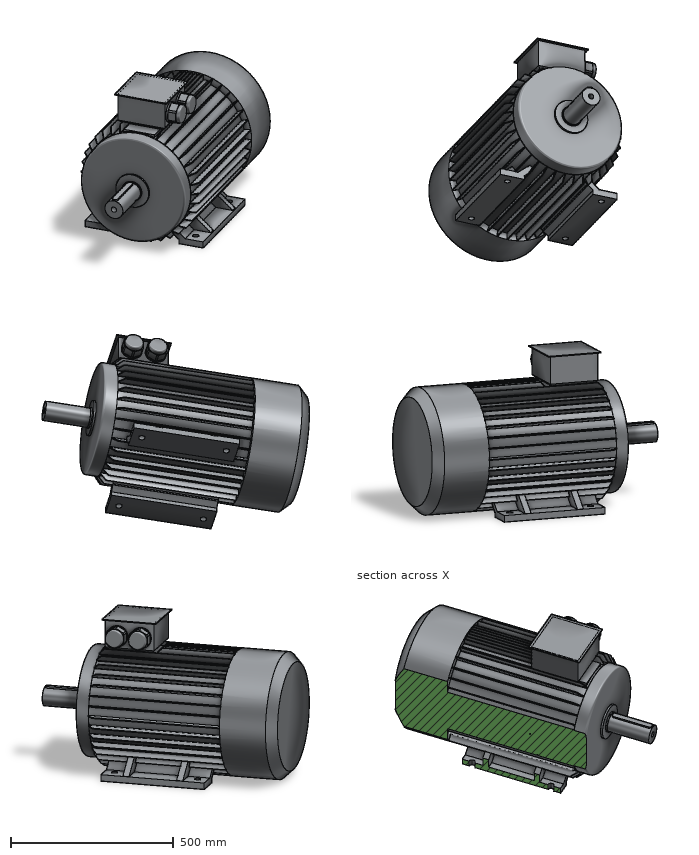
import cadquery as cq
import math


SHAFT_DIAMETER = 60
SHAFT_LENGTH = 140
SHOULDER_DIAMETER = 65
SHOULDER_LENGTH = 5
COVER_DIAMETER = 110
COVER_FACE_Y = SHOULDER_LENGTH
CENTRE_HOLE_DIAMETER = 17.29
CENTRE_HOLE_DEPTH = 40
DRILL_POINT_ANGLE = 118
KEY_WIDTH = 18
KEY_LENGTH = 134
KEY_END_GAP = 2
KEY_TOP_Z = 34
KEY_SEAT_Z = 23

SHIELD_FACE_Y = 11.6
SHIELD_DIAMETER = 350
SHIELD_FILLET = 7
BODY_FRONT_Y = 53.5
BODY_DIAMETER = 352
COWL_FRONT_Y = 482
COWL_REAR_Y = 660
COWL_DIAMETER = 397
COWL_CHAMFER_RADIAL = 29
COWL_CHAMFER_AXIAL = 30

FIN_THICKNESS = 3
FIN_TIP_RADIUS = COWL_DIAMETER / 2
FIN_STEP_ANGLE = 10
FIN_CHAMFER = 18
FIN_ROOT_OVERLAP = 10
TOP_GAP_HALF_ANGLE = 20
TOP_FIN_COUNT = 7
TOP_FIN_SPACING = 12.2
TOP_FIN_FRONT_Y = 250

FLAT_WIDTH = 104
FLAT_Z = 177
FLAT_FRONT_Y = 60
BOX_CENTRE_Y = 156
BOX_SIDE = 157
BOX_TAPER = 7
BOX_TAPER_TOP_Z = 196
LID_SIDE = 172.5
LID_THICKNESS = 3
LID_TOP_Z = 286

GLAND_SPACING = 75.5
GLAND_Z = 235
WASHER_DIAMETER = 65
WASHER_THICKNESS = 6
NUT_ACROSS_FLATS = 60
NUT_CORNER_DIAMETER = 66
NUT_LENGTH = 26
GLAND_CAP_DIAMETER = 57.49
GLAND_CAP_LENGTH = 13.5
GLAND_CAP_FILLET = 5

SHAFT_HEIGHT = 200
FOOT_CENTRE_Y = 266
FOOT_LENGTH = 333
FOOT_OUTER_X = 197.5
FOOT_INNER_X = 116
FOOT_THICKNESS = 21
FOOT_SLOPE = math.radians(40)
WEB_OUTER_X = 137.5
WEB_INNER_RISE = 14
RIB_OUTER_X = 194
RIB_THICKNESS = 20
RIB_SPACING = 173
LEG_TOP_X = 90
HOLE_DIAMETER = 19
HOLE_SPACING_X = 318
HOLE_SPACING_Y = 267


def cylinder_y(diameter, y_start, y_end):
    """Cylinder on the shaft axis from y_start to y_end."""
    return cq.Workplane("XZ", origin=(0, y_start, 0)).circle(diameter / 2).extrude(y_start - y_end)


def prism_y(points, y_centre, length):
    """Prism with an (x, z) outline, centred on y_centre along Y."""
    workplane = cq.Workplane("XZ", origin=(0, y_centre, 0))
    return workplane.polyline(points).close().extrude(length / 2, both=True)


def block(size_x, y_start, y_end, z_start, z_end):
    """Block centred on X = 0."""
    corner = (-size_x / 2, y_start, z_start)
    return cq.Workplane("XY", origin=corner).box(size_x, y_end - y_start, z_end - z_start, centered=False)


def make_housing():
    """Shield, body and fan cowl as solids of revolution."""
    shield = cylinder_y(SHIELD_DIAMETER, SHIELD_FACE_Y, BODY_FRONT_Y)
    shield = shield.faces("<Y").edges().fillet(SHIELD_FILLET)
    body = cylinder_y(BODY_DIAMETER, BODY_FRONT_Y, COWL_FRONT_Y)
    radius = COWL_DIAMETER / 2
    cowl_profile = [
        (0, COWL_FRONT_Y),
        (radius, COWL_FRONT_Y),
        (radius, COWL_REAR_Y - COWL_CHAMFER_AXIAL),
        (radius - COWL_CHAMFER_RADIAL, COWL_REAR_Y),
        (0, COWL_REAR_Y),
    ]
    cowl = cq.Workplane("XY").polyline(cowl_profile).close().revolve(360, (0, 0), (0, 1))
    return shield.union(body).union(cowl)


def make_shaft():
    """Shaft with its shoulder, bearing cover, key and drilled centre hole."""
    shaft = cylinder_y(SHAFT_DIAMETER, -SHAFT_LENGTH, 0)
    shaft = shaft.union(cylinder_y(SHOULDER_DIAMETER, 0, SHOULDER_LENGTH))
    shaft = shaft.union(cylinder_y(COVER_DIAMETER, COVER_FACE_Y, SHIELD_FACE_Y))

    key_centre_y = -SHAFT_LENGTH + KEY_END_GAP + KEY_LENGTH / 2
    key_plane = cq.Workplane("XY", origin=(0, key_centre_y, KEY_SEAT_Z))
    shaft = shaft.union(key_plane.slot2D(KEY_LENGTH, KEY_WIDTH, 90).extrude(KEY_TOP_Z - KEY_SEAT_Z))

    hole_radius = CENTRE_HOLE_DIAMETER / 2
    hole_end_y = -SHAFT_LENGTH + CENTRE_HOLE_DEPTH
    point_length = hole_radius / math.tan(math.radians(DRILL_POINT_ANGLE / 2))
    hole_profile = [
        (0, -SHAFT_LENGTH),
        (hole_radius, -SHAFT_LENGTH),
        (hole_radius, hole_end_y),
        (0, hole_end_y + point_length),
    ]
    centre_hole = cq.Workplane("XY").polyline(hole_profile).close().revolve(360, (0, 0), (0, 1))
    return shaft.cut(centre_hole)


def make_radial_fin(angle):
    """Body-length fin with a sloped front corner; angle is measured from +X towards +Z."""
    root_radius = BODY_DIAMETER / 2 - FIN_ROOT_OVERLAP
    outline = [
        (root_radius, BODY_FRONT_Y),
        (FIN_TIP_RADIUS - FIN_CHAMFER, BODY_FRONT_Y),
        (FIN_TIP_RADIUS, BODY_FRONT_Y + FIN_CHAMFER),
        (FIN_TIP_RADIUS, COWL_FRONT_Y),
        (root_radius, COWL_FRONT_Y),
    ]
    fin = cq.Workplane("XY").polyline(outline).close().extrude(FIN_THICKNESS / 2, both=True)
    return fin.rotate((0, 0, 0), (0, 1, 0), -angle)


def make_radial_fins():
    """Fins all round the body except in the gap on top."""
    fins = cq.Workplane("XY")
    for angle in range(0, 360, FIN_STEP_ANGLE):
        if abs(angle - 90) >= TOP_GAP_HALF_ANGLE:
            fins = fins.add(make_radial_fin(angle))
    return fins.combine()


def make_top_fin(x):
    """Upright fin behind the terminal box, reaching the cowl radius, with a 45 degree front."""
    tip_z = math.sqrt(FIN_TIP_RADIUS**2 - x**2)
    root_z = BODY_DIAMETER / 2 - FIN_ROOT_OVERLAP
    outline = [
        (TOP_FIN_FRONT_Y, tip_z),
        (COWL_FRONT_Y, tip_z),
        (COWL_FRONT_Y, root_z),
        (TOP_FIN_FRONT_Y - (tip_z - root_z), root_z),
    ]
    plane = cq.Workplane("YZ", origin=(x, 0, 0))
    return plane.polyline(outline).close().extrude(FIN_THICKNESS / 2, both=True)


def make_top():
    """Flat on top of the body with its row of upright fins."""
    top = block(FLAT_WIDTH, FLAT_FRONT_Y, COWL_FRONT_Y, 0, FLAT_Z)
    first_fin_x = -(TOP_FIN_COUNT - 1) / 2 * TOP_FIN_SPACING
    for index in range(TOP_FIN_COUNT):
        top = top.union(make_top_fin(first_fin_x + index * TOP_FIN_SPACING))
    return top


def make_gland(y):
    """Cable gland: washer, hexagon nut with rounded corners and rounded cap."""
    box_face = cq.Plane(origin=(BOX_SIDE / 2, y, GLAND_Z), xDir=(0, 1, 0), normal=(1, 0, 0))
    cap_start = WASHER_THICKNESS + NUT_LENGTH
    washer = cq.Workplane(box_face).circle(WASHER_DIAMETER / 2).extrude(WASHER_THICKNESS)

    nut_origin = (BOX_SIDE / 2 + WASHER_THICKNESS, y, GLAND_Z)
    nut_plane = cq.Plane(origin=nut_origin, xDir=(0, 1, 0), normal=(1, 0, 0))
    nut = cq.Workplane(nut_plane).polygon(6, NUT_ACROSS_FLATS, circumscribed=True).extrude(NUT_LENGTH)
    nut = nut.intersect(cq.Workplane(nut_plane).circle(NUT_CORNER_DIAMETER / 2).extrude(NUT_LENGTH))

    cap = cq.Workplane(box_face).workplane(offset=cap_start).circle(GLAND_CAP_DIAMETER / 2)
    cap = cap.extrude(GLAND_CAP_LENGTH).faces(">X").edges().fillet(GLAND_CAP_FILLET)
    return washer.union(nut).union(cap)


def make_terminal_box():
    """Pedestal, box with a tapered underside, overhanging lid and two cable glands."""
    taper_bottom_z = BOX_TAPER_TOP_Z - BOX_TAPER
    lid_bottom_z = LID_TOP_Z - LID_THICKNESS
    box_front_y = BOX_CENTRE_Y - BOX_SIDE / 2
    box_rear_y = BOX_CENTRE_Y + BOX_SIDE / 2
    box = block(BOX_SIDE, box_front_y, box_rear_y, taper_bottom_z, lid_bottom_z)
    box = box.faces("<Z").edges().chamfer(BOX_TAPER)
    lid = block(LID_SIDE, BOX_CENTRE_Y - LID_SIDE / 2, BOX_CENTRE_Y + LID_SIDE / 2, lid_bottom_z, LID_TOP_Z)
    pedestal_front_y = BOX_CENTRE_Y - FLAT_WIDTH / 2
    pedestal_rear_y = BOX_CENTRE_Y + FLAT_WIDTH / 2
    pedestal = block(FLAT_WIDTH, pedestal_front_y, pedestal_rear_y, FLAT_Z, taper_bottom_z)
    box = box.union(lid).union(pedestal)
    for side in (-1, 1):
        box = box.union(make_gland(BOX_CENTRE_Y + side * GLAND_SPACING / 2))
    return box


def make_foot():
    """Foot on the +X side: plate, sloping web, two ribs and two bolt holes."""
    plate_top_z = FOOT_THICKNESS - SHAFT_HEIGHT
    slope = math.tan(FOOT_SLOPE)
    web_inner_z = WEB_INNER_RISE - SHAFT_HEIGHT
    web_outline = [
        (FOOT_OUTER_X, -SHAFT_HEIGHT),
        (FOOT_OUTER_X, plate_top_z),
        (WEB_OUTER_X, plate_top_z),
        (LEG_TOP_X, plate_top_z + (WEB_OUTER_X - LEG_TOP_X) * slope),
        (LEG_TOP_X, web_inner_z + (FOOT_INNER_X - LEG_TOP_X) * slope),
        (FOOT_INNER_X, web_inner_z),
        (FOOT_INNER_X, -SHAFT_HEIGHT),
    ]
    foot = prism_y(web_outline, FOOT_CENTRE_Y, FOOT_LENGTH)

    rib_outline = [
        (RIB_OUTER_X, plate_top_z),
        (FOOT_INNER_X, plate_top_z + (RIB_OUTER_X - FOOT_INNER_X) * slope),
        (LEG_TOP_X, plate_top_z + (WEB_OUTER_X - LEG_TOP_X) * slope),
        (WEB_OUTER_X, plate_top_z),
    ]
    for side in (-1, 1):
        foot = foot.union(prism_y(rib_outline, FOOT_CENTRE_Y + side * RIB_SPACING / 2, RIB_THICKNESS))

    hole_plane = cq.Workplane("XY", origin=(HOLE_SPACING_X / 2, FOOT_CENTRE_Y, -SHAFT_HEIGHT))
    holes = hole_plane.rarray(1, HOLE_SPACING_Y, 1, 2).circle(HOLE_DIAMETER / 2).extrude(FOOT_THICKNESS)
    return foot.cut(holes)


motor = make_housing().union(make_shaft()).union(make_radial_fins())
motor = motor.union(make_top()).union(make_terminal_box())
foot = make_foot()
result = motor.union(foot).union(foot.mirror("YZ"))